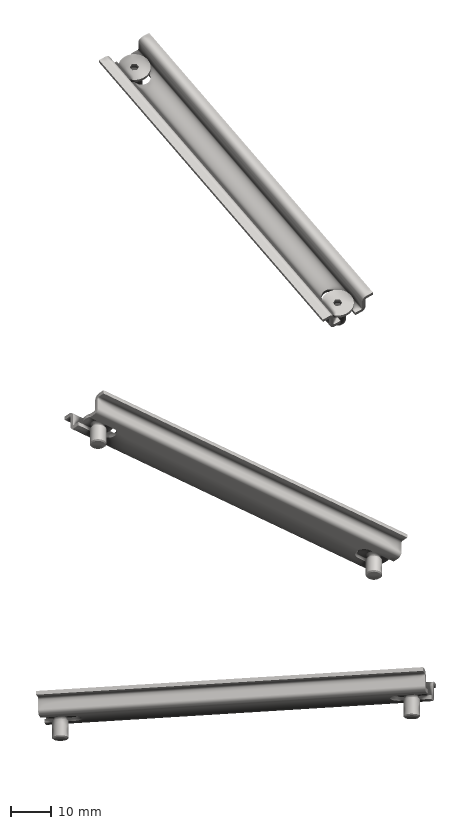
import cadquery as cq

rail_length = 98.0
rail_width = 15.0
rail_height = 5.4
sheet = 1.0
channel_width = 8.5
flange_inner_bend = 0.5
flange_outer_bend = flange_inner_bend + sheet
floor_inner_bend = 0.245
floor_outer_bend = floor_inner_bend + sheet

slot_width = 4.4
slot_reach = 9.9

overall_height = 10.5
screw_inset = 4.5
head_diameter = 8.0
head_thickness = 0.9
neck_top_diameter = 3.9
neck_waist_diameter = 3.2
neck_bottom_diameter = 3.6
neck_flare_height = 0.7
neck_end_drop = 0.5
shank_diameter = 4.1
tip_chamfer = 0.3
socket_corner_diameter = 2.3
socket_depth = 1.5

floor_top = sheet - rail_height
half_length = rail_length / 2


def make_rail():
    """Bent strip with a slot open at each end."""
    outer_width = channel_width + 2 * sheet
    flanges = cq.Workplane("XY").box(rail_length, rail_width, sheet, centered=(True, True, False))
    flanges = flanges.translate((0, 0, -sheet))
    trough = cq.Workplane("XY").box(rail_length, outer_width, rail_height, centered=(True, True, False))
    trough = trough.translate((0, 0, -rail_height)).edges("|X and <Z").fillet(floor_outer_bend)
    body = flanges.union(trough)
    under_flange = cq.selectors.BoxSelector(
        (-rail_length, -rail_width / 2 + sheet, -1.5 * sheet),
        (rail_length, rail_width / 2 - sheet, -0.5 * sheet),
    )
    body = body.edges("|X").edges(under_flange).fillet(flange_inner_bend)

    channel_depth = rail_height - sheet
    channel = cq.Workplane("XY").box(rail_length, channel_width, channel_depth, centered=(True, True, False))
    channel = channel.translate((0, 0, floor_top)).edges("|X and <Z").fillet(floor_inner_bend)
    body = body.cut(channel)
    channel_rims = cq.selectors.BoxSelector(
        (-rail_length, -channel_width / 2 - sheet / 2, -sheet / 2),
        (rail_length, channel_width / 2 + sheet / 2, sheet / 2),
    )
    body = body.edges("|X").edges(channel_rims).fillet(flange_outer_bend)

    for side in (-1, 1):
        body = body.cut(make_slot(side))
    return body


def make_slot(side):
    """Cutter for the slot at one end, with a round inner end."""
    round_x = half_length - slot_reach + slot_width / 2
    straight_length = half_length - round_x
    straight = cq.Workplane("XY").box(straight_length, slot_width, sheet, centered=(True, True, False))
    straight = straight.translate((side * (round_x + straight_length / 2), 0, -rail_height))
    round_end = cq.Workplane("XY").circle(slot_width / 2).extrude(sheet)
    return straight.union(round_end.translate((side * round_x, 0, -rail_height)))


def make_screw(x):
    """Flat-headed screw with a waisted neck and a hexagon socket, resting on the floor."""
    shank_top = -rail_height - neck_end_drop
    shank_length = overall_height + shank_top
    head = cq.Workplane("XY").workplane(offset=floor_top).circle(head_diameter / 2).extrude(head_thickness)
    neck_outline = [
        (0, shank_top),
        (neck_bottom_diameter / 2, shank_top),
        (neck_waist_diameter / 2, floor_top - neck_flare_height),
        (neck_top_diameter / 2, floor_top),
        (0, floor_top),
    ]
    neck = cq.Workplane("XZ").polyline(neck_outline).close().revolve(360, (0, 0, 0), (0, 1, 0))
    shank = cq.Workplane("XY").workplane(offset=shank_top).circle(shank_diameter / 2).extrude(-shank_length)
    shank = shank.faces("<Z").chamfer(tip_chamfer)
    socket = (
        cq.Workplane("XY")
        .workplane(offset=floor_top + head_thickness)
        .polygon(6, socket_corner_diameter)
        .extrude(-socket_depth)
    )
    return head.union(neck).union(shank).cut(socket).translate((x, 0, 0))


rail = make_rail()
screw_x = half_length - screw_inset
screws = [make_screw(side * screw_x) for side in (-1, 1)]

result = cq.Compound.makeCompound([rail.val(), *[screw.val() for screw in screws]])